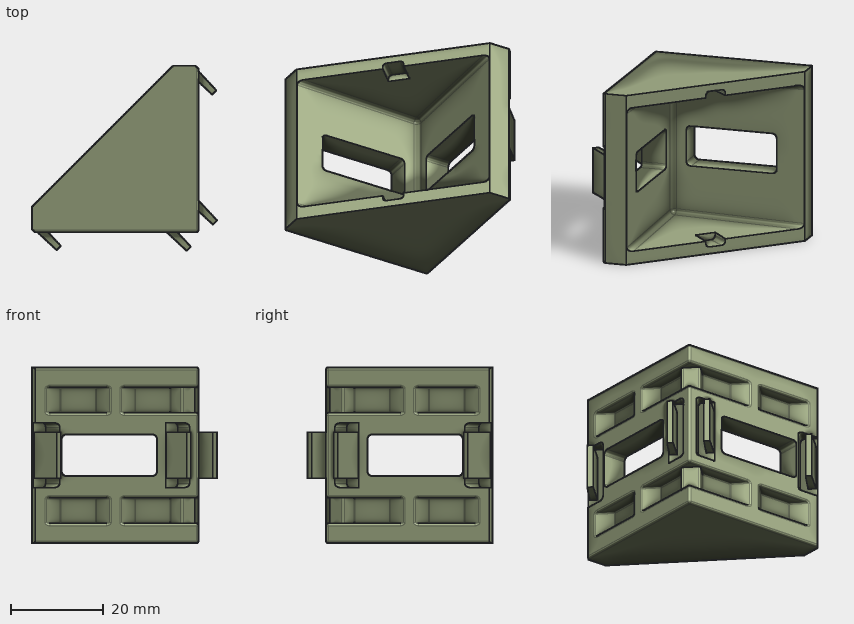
import cadquery as cq
import math

DIAGONAL_MIRROR = (1, 1, 0)

leg_length = 36.0
height = 38.0
leg_end_width = 5.5
end_chamfer = 0.7
face_edge_radius = 0.5

leg_thickness = 5.6
pocket_mouth_height = 32.2
pocket_draft = 2.0
pocket_fillet = 1.1

notch_length = 4.7
notch_depth = 5.0
notch_top = 17.45
notch_radius = 0.9

slot_start = 9.0
slot_end = 29.55
slot_height = 8.95
slot_radius = 1.0

relief_depth = 3.1
relief_height = 5.53
relief_center_z = 11.93
relief_radius = 0.25
relief_rim_radius = 0.5
outer_relief_start = 19.1
outer_relief_end = 33.0
corner_relief_end = 16.85
ridge_foot = 6.1
ridge_top = 3.6
ridge_radius = 0.5

tab_height = 10.0
tab_tip_thickness = 1.3
tab_draft = 2.0
tab_length = 7.0
recess_height = 14.0
recess_radius = 0.9
corner_tab_tip = (-2.57, -4.02)
outer_tab_tip = (-30.64, -3.88)
corner_recess_span = (-7.1, -1.94)
outer_recess_span = (-36.1, -30.0)

overcut = 1.0
rim_search_margin = 1.0


def prism(points, depth, center_z=0.0):
    """Closed XY outline extruded along Z, centred on center_z."""
    return (
        cq.Workplane("XY", origin=(0, 0, center_z - depth / 2))
        .polyline(points)
        .close()
        .extrude(depth)
    )


def on_both_legs(shape):
    return shape.union(shape.mirror(DIAGONAL_MIRROR))


def above_and_below(shape):
    return shape.union(shape.mirror("XY"))


def make_outer_relief():
    """Relief pocket with both ends sloping at 45 degrees down to its floor."""
    relief = prism(
        [
            (-outer_relief_start, 0),
            (-outer_relief_start - relief_depth, relief_depth),
            (-outer_relief_end + relief_depth, relief_depth),
            (-outer_relief_end, 0),
        ],
        relief_height,
        relief_center_z,
    )
    return relief.edges("not(<Y)").fillet(relief_radius)


def make_corner_relief():
    """Relief pocket shared by both legs, passing around a ridge in the outer corner."""
    ridge_front = ridge_foot - relief_depth - ridge_top
    ridge_middle = (ridge_top - ridge_front) / 2
    ridge_edge = (-ridge_top, -ridge_front)
    relief = prism(
        [
            (0, 0),
            (-ridge_middle, ridge_middle),
            ridge_edge,
            (-ridge_foot, relief_depth),
            (-corner_relief_end + relief_depth, relief_depth),
            (-corner_relief_end, 0),
        ],
        relief_height,
        relief_center_z,
    )
    ridge_selector = cq.selectors.NearestToPointSelector((*ridge_edge, relief_center_z))
    relief = relief.edges(ridge_selector).fillet(ridge_radius)
    relief = relief.faces(">Y or <X").edges("not(<Y)").fillet(relief_radius)
    return on_both_legs(relief)


def round_relief_rims(body):
    """Round the edges of the relief pockets, which lie well inside the face borders."""
    margin = rim_search_margin
    inner_end = leg_length - end_chamfer - margin
    top = height / 2 - margin
    front_box = cq.selectors.BoxSelector((-inner_end, -margin, -top), (-margin, margin, top))
    side_box = cq.selectors.BoxSelector((-margin, margin, -top), (margin, inner_end, top))
    rims = body.faces("<Y").edges(front_box)
    rims = rims.add(body.faces(">X").edges(side_box))
    return rims.fillet(relief_rim_radius)


def make_body():
    """Triangular block with rounded mounting faces and the relief pockets cut into them."""
    outline = [
        (0, 0),
        (-leg_length, 0),
        (-leg_length, leg_end_width),
        (-leg_end_width, leg_length),
        (0, leg_length),
    ]
    body = prism(outline, height)
    for leg_end in ((-leg_length, 0, 0), (0, leg_length, 0)):
        body = body.edges(cq.selectors.NearestToPointSelector(leg_end)).chamfer(end_chamfer)
    body = body.faces("<Y or >X").edges("not(<X or >Y)").fillet(face_edge_radius)
    reliefs = on_both_legs(make_outer_relief()).union(make_corner_relief())
    return round_relief_rims(body.cut(above_and_below(reliefs)))


def sloping_face_plane():
    """Plane on the sloping face: local X along the slope, local Y up, normal outwards."""
    middle = (leg_length + leg_end_width) / 2
    return cq.Plane(origin=(-middle, middle, 0), xDir=(-1, -1, 0), normal=(-1, 1, 0))


def make_pocket():
    """Triangular pocket whose upper and lower walls are drafted towards the corner."""
    reach = leg_length + leg_end_width + overcut - leg_thickness
    inside_of_legs = prism(
        [
            (-leg_thickness, leg_thickness),
            (-reach, leg_thickness),
            (-leg_thickness, reach),
        ],
        height,
    )
    depth = leg_length
    mouth_half = pocket_mouth_height / 2
    slope = math.tan(math.radians(pocket_draft))
    side = sloping_face_plane().rotated((0, 90, 0))
    wedge = (
        cq.Workplane(side)
        .polyline(
            [
                (-overcut, mouth_half + overcut * slope),
                (depth, mouth_half - depth * slope),
                (depth, -mouth_half + depth * slope),
                (-overcut, -mouth_half - overcut * slope),
            ]
        )
        .close()
        .extrude(leg_length, both=True)
    )
    pocket = inside_of_legs.intersect(wedge)
    return pocket.faces(">X or <Y").edges().edges("not(>Y or <X)").fillet(pocket_fillet)


def make_notches():
    """One tall cutter that notches the upper and lower rims of the pocket."""
    into_corner = cq.Vector(-1, 1, 0)
    return (
        cq.Workplane(sloping_face_plane())
        .rect(notch_length, 2 * notch_top)
        .extrude(-notch_depth)
        .edges(cq.selectors.ParallelDirSelector(into_corner))
        .fillet(notch_radius)
    )


def make_slot():
    """Bolt slot through the leg along X."""
    return (
        cq.Workplane("XZ", origin=(-(slot_start + slot_end) / 2, -overcut, 0))
        .rect(slot_end - slot_start, slot_height)
        .extrude(-leg_thickness - 2 * overcut)
        .edges("|Y")
        .fillet(slot_radius)
    )


def make_recess(left, right):
    """V-shaped recess whose two 45 degree faces meet the mounting face at left and right."""
    middle = (left + right) / 2
    half = (right - left) / 2
    recess = prism(
        [
            (left - overcut, -overcut),
            (middle, half),
            (right + overcut, -overcut),
        ],
        recess_height,
    )
    tab_direction = cq.Vector(1, -1, 0)
    right_face_ends = cq.selectors.ParallelDirSelector(tab_direction)
    return recess.faces(">(1, 1, 0)").edges(right_face_ends).fillet(recess_radius)


def make_tab(tip):
    """Tab along the (1, -1) diagonal, thickening from its tip to its root."""
    spread = tab_length * math.tan(math.radians(tab_draft))
    plane = cq.Plane(origin=(*tip, 0), xDir=(1, 1, 0), normal=(0, 0, 1))
    return (
        cq.Workplane(plane)
        .polyline(
            [
                (0, 0),
                (tab_tip_thickness, 0),
                (tab_tip_thickness + spread, tab_length),
                (-spread, tab_length),
            ]
        )
        .close()
        .extrude(tab_height / 2, both=True)
    )


result = make_body().cut(make_pocket()).cut(make_notches()).cut(on_both_legs(make_slot()))
for recess_span, tab_tip in (
    (corner_recess_span, corner_tab_tip),
    (outer_recess_span, outer_tab_tip),
):
    result = result.cut(on_both_legs(make_recess(*recess_span)))
    result = result.union(on_both_legs(make_tab(tab_tip)))